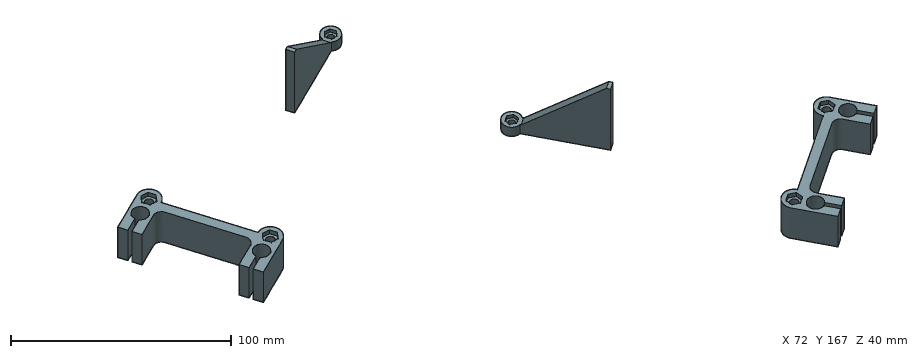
import cadquery as cq
import math

bracket_width = 72.0
bracket_height = 20.0
leg_width = 12.0
leg_length = 22.0
bar_thickness = 5.0
inner_fillet = 4.0
clamp_bore_diameter = 8.4
clamp_bore_offset = 10.0
clamp_slot_width = 2.0
bracket_hole_diameter = 4.3
bracket_nut_flats = 6.8
bracket_nut_depth = 2.5

overall_length = 167.0
eye_diameter = 10.0
eye_height = 6.0
arm_hole_diameter = 3.3
arm_nut_flats = 5.5
arm_nut_depth = 2.0
plate_thickness = 4.5
plate_height = 40.0
plate_reach = 47.0
plate_top_flat = 2.0

boss_radius = leg_width / 2
leg_spacing = bracket_width - leg_width
leg_centers = (-leg_spacing / 2, leg_spacing / 2)
eye_y = overall_length - leg_length - eye_diameter / 2


def upright_cylinder(x, y, diameter, height):
    return cq.Workplane("XY").center(x, y).circle(diameter / 2).extrude(height)


def upright_block(x, y_min, y_max, width, height):
    length = y_max - y_min
    return cq.Workplane("XY").center(x, (y_min + y_max) / 2).rect(width, length).extrude(height)


def nut_pocket(x, y, flats, depth, top):
    """Hexagonal pocket cutter, with corners along X and its open end at the top."""
    corner_diameter = flats / math.cos(math.pi / 6)
    hexagon = cq.Workplane("XY").workplane(offset=top - depth).center(x, y).polygon(6, corner_diameter)
    return hexagon.extrude(depth)


def make_bracket():
    body = upright_block(0, -bar_thickness, 0, leg_spacing, bracket_height)
    for x in leg_centers:
        body = body.union(upright_block(x, -leg_length, 0, leg_width, bracket_height))
        body = body.union(upright_cylinder(x, 0, leg_width, bracket_height))

    inner_x = leg_spacing / 2 - boss_radius
    for x in (-inner_x, inner_x):
        corner = cq.selectors.NearestToPointSelector((x, -bar_thickness, bracket_height / 2))
        body = body.edges("|Z").edges(corner).fillet(inner_fillet)

    for x in leg_centers:
        body = body.cut(upright_cylinder(x, 0, bracket_hole_diameter, bracket_height))
        body = body.cut(nut_pocket(x, 0, bracket_nut_flats, bracket_nut_depth, bracket_height))
        body = body.cut(upright_cylinder(x, -clamp_bore_offset, clamp_bore_diameter, bracket_height))
        body = body.cut(
            upright_block(x, -leg_length, -clamp_bore_offset, clamp_slot_width, bracket_height)
        )
    return body


def make_arm():
    tall_end_y = eye_y - plate_reach
    plate = (
        cq.Workplane("YZ")
        .moveTo(eye_y, 0)
        .lineTo(tall_end_y, 0)
        .lineTo(tall_end_y, plate_height)
        .lineTo(tall_end_y + plate_top_flat, plate_height)
        .lineTo(eye_y - eye_diameter / 2, eye_height)
        .lineTo(eye_y, eye_height)
        .close()
        .extrude(plate_thickness / 2, both=True)
    )
    body = plate.union(upright_cylinder(0, eye_y, eye_diameter, eye_height))
    body = body.cut(upright_cylinder(0, eye_y, arm_hole_diameter, eye_height))
    return body.cut(nut_pocket(0, eye_y, arm_nut_flats, arm_nut_depth, eye_height))


bracket = make_bracket()
arm = make_arm()
result = cq.Compound.makeCompound([bracket.val(), arm.val()])